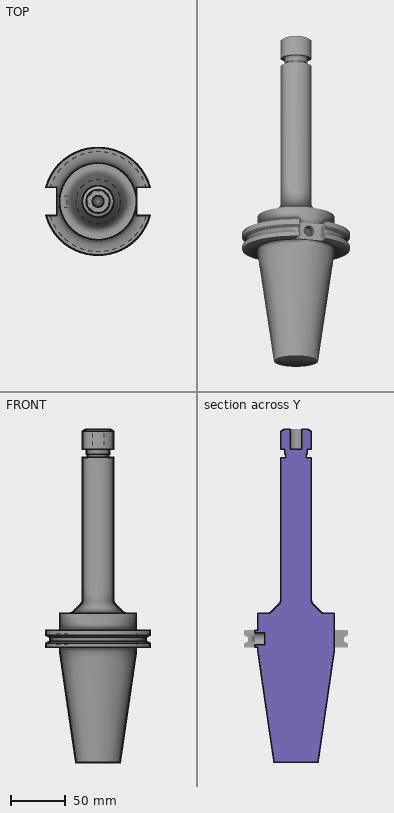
import cadquery as cq
import math

total_height = 304.8
taper_height = 101.5
flange_bottom = 105.5
flange_height = 15.5
collar_top = 136.5
neck_bottom = 279.0
neck_step = 281.5
cap_bottom = 286.2

taper_radius = 35.0
taper_slope = 7 / 48
collar_radius = 35.0
flange_radius = 49.23
shaft_radius = 14.3
neck_radius = 10.7
neck_relief_radius = 9.8
cap_chamfer_width = 3.7
cap_chamfer_height = 2.0

cone_foot_radius = 26.2
foot_blend = 5.2
shaft_blend = 5.0

groove_floor_radius = 45.7
groove_floor_bottom = 111.0
groove_floor_top = 114.5
groove_flank_angle = 30

notch_width = 25.5
left_notch_floor = 37.8
right_notch_floor = 35.5

side_hole_radius = 5.2
side_hole_depth = 9.0
top_hole_radius = 5.2
top_hole_depth = 18.3

flange_top = flange_bottom + flange_height
flange_middle = flange_bottom + flange_height / 2


def turned_body():
    """Revolve the half profile of the holder about Z."""
    along = math.sin(math.pi / 4)
    across = 1 - along
    half_along = math.sin(math.pi / 8)
    half_across = 1 - math.cos(math.pi / 8)

    cone_low_radius = cone_foot_radius - foot_blend * along
    cone_low_height = collar_top + foot_blend * across
    cone_high_radius = shaft_radius + shaft_blend * across
    cone_high_height = cone_low_height + cone_low_radius - cone_high_radius
    shaft_start = cone_high_height + shaft_blend * along
    foot_middle = (
        cone_foot_radius - foot_blend * half_along,
        collar_top + foot_blend * half_across,
    )
    shaft_middle = (
        shaft_radius + shaft_blend * half_across,
        shaft_start - shaft_blend * half_along,
    )
    profile = (
        cq.Workplane("XZ")
        .lineTo(taper_radius - taper_height * taper_slope, 0)
        .lineTo(taper_radius, taper_height)
        .lineTo(taper_radius, flange_bottom)
        .lineTo(flange_radius, flange_bottom)
        .lineTo(flange_radius, flange_top)
        .lineTo(collar_radius, flange_top)
        .lineTo(collar_radius, collar_top)
        .lineTo(cone_foot_radius, collar_top)
        .threePointArc(foot_middle, (cone_low_radius, cone_low_height))
        .lineTo(cone_high_radius, cone_high_height)
        .threePointArc(shaft_middle, (shaft_radius, shaft_start))
        .lineTo(shaft_radius, neck_bottom)
        .lineTo(neck_relief_radius, neck_bottom)
        .lineTo(neck_relief_radius, neck_step)
        .lineTo(neck_radius, neck_step)
        .lineTo(neck_radius, cap_bottom)
        .lineTo(shaft_radius, cap_bottom)
        .lineTo(shaft_radius, total_height - cap_chamfer_height)
        .lineTo(shaft_radius - cap_chamfer_width, total_height)
        .lineTo(0, total_height)
        .close()
    )
    return profile.revolve(360, (0, 0, 0), (0, 1, 0))


def flange_groove():
    """Ring that cuts the V groove with sloping flanks."""
    rise = (flange_radius - groove_floor_radius) * math.tan(math.radians(groove_flank_angle))
    return (
        cq.Workplane("XZ")
        .moveTo(groove_floor_radius, groove_floor_bottom)
        .lineTo(flange_radius, groove_floor_bottom - rise)
        .lineTo(flange_radius, groove_floor_top + rise)
        .lineTo(groove_floor_radius, groove_floor_top)
        .close()
        .revolve(360, (0, 0, 0), (0, 1, 0))
    )


def drive_notch(side, floor):
    """Block cutting a notch through the flange; side is -1 or +1 along X."""
    depth = flange_radius - floor
    return cq.Workplane("XY").box(depth, notch_width, flange_height).translate(
        (side * (floor + depth / 2), 0, flange_middle)
    )


def side_hole():
    """Radial blind hole in the floor of the -X notch."""
    return (
        cq.Workplane("YZ", origin=(-left_notch_floor, 0, flange_middle))
        .circle(side_hole_radius)
        .extrude(side_hole_depth)
    )


def top_hole():
    """Axial blind hole in the end of the cap."""
    return (
        cq.Workplane("XY", origin=(0, 0, total_height))
        .circle(top_hole_radius)
        .extrude(-top_hole_depth)
    )


result = turned_body().cut(flange_groove())
for side, floor in ((-1, left_notch_floor), (1, right_notch_floor)):
    result = result.cut(drive_notch(side, floor))
result = result.cut(side_hole()).cut(top_hole())